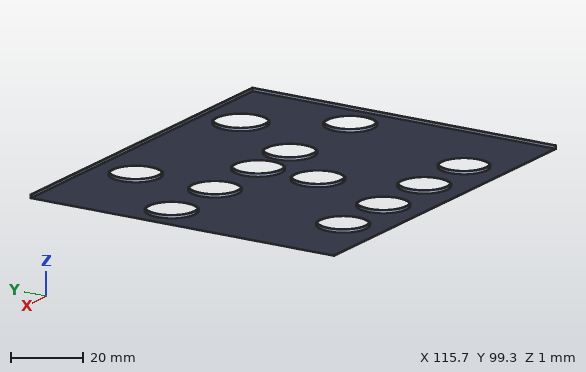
import cadquery as cq

LENGTH = 115.7
WIDTH = 99.3
THICKNESS = 1.0

MIDDLE_ROW_Y = 10.6
BOTTOM_ROW_Y = -36.5

STANDARD_DIAMETER = 15.0

TOP_HOLES = [
    (-31.8, 37.1, 16.0),
    (23.7, 36.7, 15.2),
]
MIDDLE_HOLES = [
    (-46.6, MIDDLE_ROW_Y, STANDARD_DIAMETER),
    (-16.0, 11.1, 15.3),
    (1.4, MIDDLE_ROW_Y, STANDARD_DIAMETER),
    (23.8, MIDDLE_ROW_Y, STANDARD_DIAMETER),
    (46.4, MIDDLE_ROW_Y, STANDARD_DIAMETER),
]
CENTRE_HOLE = (0.6, -8.5, 15.3)
BOTTOM_HOLES = [
    (-30.8, BOTTOM_ROW_Y, 14.8),
    (-10.1, BOTTOM_ROW_Y, STANDARD_DIAMETER),
    (11.2, BOTTOM_ROW_Y, 15.2),
    (32.2, BOTTOM_ROW_Y, STANDARD_DIAMETER),
]


def make_plate():
    return cq.Workplane("XY").box(LENGTH, WIDTH, THICKNESS, centered=(True, True, False))


def drill(plate, x, y, diameter):
    """Cut a round hole through the full thickness of the plate."""
    cutter = cq.Workplane("XY").center(x, y).circle(diameter / 2).extrude(THICKNESS)
    return plate.cut(cutter)


result = make_plate()
for hole_x, hole_y, hole_diameter in TOP_HOLES + MIDDLE_HOLES + [CENTRE_HOLE] + BOTTOM_HOLES:
    result = drill(result, hole_x, hole_y, hole_diameter)